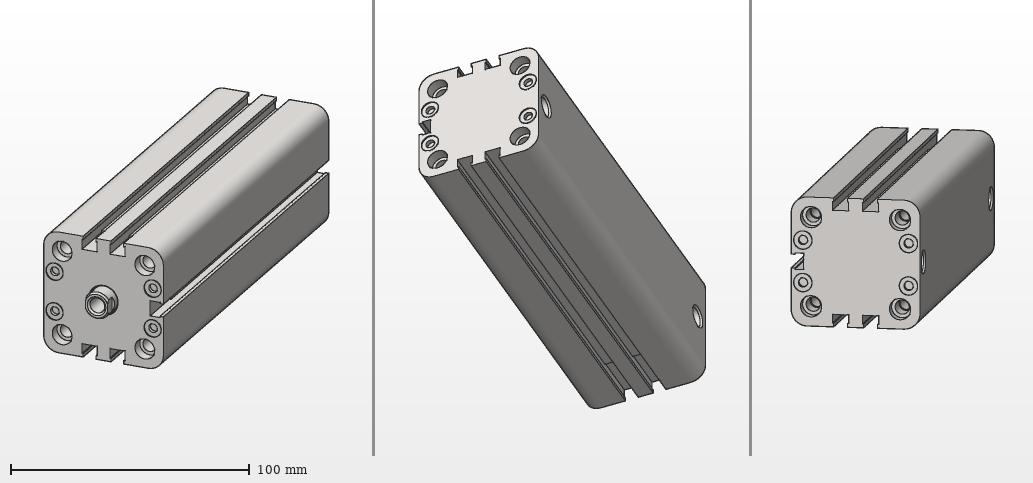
import cadquery as cq

width = 54.9
total_length = 177.0
rod_projection = 7.0
body_length = total_length - rod_projection
half_width = width / 2
corner_radius = 6.9

slot_pitch = 12.7
slot_mouth_width = 5.8
slot_inner_width = 6.9
slot_lip = 1.6
slot_depth = 5.3
slot_deep_depth = 6.0
slot_deep_length = 19.8

mount_offset = 19.0
mount_core_diameter = 5.1
mount_thread_diameter = 6.0
mount_thread_depth = 14.2
mount_counterbore_diameter = 9.0
mount_counterbore_depth = 5.0

screw_x = 22.5
screw_z = 9.0
screw_recess_diameter = 7.8
screw_recess_depth = 0.5
socket_diameter = 3.9
socket_depth = 2.3

port_end_distance = 8.0
port_diameter = 8.5
port_mouth_diameter = 10.1
port_depth = 8.0
air_hole_diameter = 3.0
air_hole_shift = 2.0
air_hole_depth = 3.5

rod_diameter = 12.0
rod_chamfer_length = 1.0
rod_chamfer_inset = 0.7
well_diameter = 12.5
well_mouth_diameter = 13.5
well_depth = 1.8
flat_spacing = 10.1
flat_length = 4.5
flat_runout = 0.5
bore_diameter = 6.7
bore_mouth_diameter = 8.5
bore_depth = 14.2
bore_tip_height = 2.1


def y_cylinder(diameter, start_y, length, x=0, z=0):
    """Cylinder along +Y."""
    solid = cq.Solid.makeCylinder(diameter / 2, length, cq.Vector(x, start_y, z), cq.Vector(0, 1, 0))
    return cq.Workplane(solid)


def y_cone(start_diameter, end_diameter, start_y, length):
    """Cone along +Y on the rod axis."""
    axis_start = cq.Vector(0, start_y, 0)
    solid = cq.Solid.makeCone(start_diameter / 2, end_diameter / 2, length, axis_start, cq.Vector(0, 1, 0))
    return cq.Workplane(solid)


def x_cylinder(diameter, start_x, length, y):
    """Cylinder along +X at mid height."""
    solid = cq.Solid.makeCylinder(diameter / 2, length, cq.Vector(start_x, y, 0), cq.Vector(1, 0, 0))
    return cq.Workplane(solid)


def make_block():
    block = cq.Workplane().box(width, body_length, width, centered=(True, False, True))
    return block.edges("|Y").fillet(corner_radius)


def make_slot(depth, length):
    """Undercut slot in the +Z face, starting at the rod end."""
    from_start = (True, False, False)
    mouth = cq.Workplane().box(slot_mouth_width, length, slot_lip, centered=from_start)
    mouth = mouth.translate((0, 0, half_width - slot_lip))
    chamber = cq.Workplane().box(slot_inner_width, length, depth - slot_lip, centered=from_start)
    return mouth.union(chamber.translate((0, 0, half_width - depth)))


def cut_slots(body):
    """Two slots on the top, two underneath and one on the +X face."""
    slot = make_slot(slot_depth, body_length).union(make_slot(slot_deep_depth, slot_deep_length))
    pair = slot.translate((-slot_pitch / 2, 0, 0)).union(slot.translate((slot_pitch / 2, 0, 0)))
    body = body.cut(pair).cut(pair.mirror("XY"))
    return body.cut(slot.rotate((0, 0, 0), (0, 1, 0), 90))


def make_mount_hole(x, z):
    """Through hole, opened up the same way from both ends."""
    hole = y_cylinder(mount_core_diameter, 0, body_length, x, z)
    for diameter, depth in (
        (mount_thread_diameter, mount_thread_depth),
        (mount_counterbore_diameter, mount_counterbore_depth),
    ):
        hole = hole.union(y_cylinder(diameter, 0, depth, x, z))
        hole = hole.union(y_cylinder(diameter, body_length - depth, depth, x, z))
    return hole


def make_screw_recess(x, z):
    """Screw recess and socket at both ends."""
    recess = cq.Workplane()
    for diameter, depth in (
        (screw_recess_diameter, screw_recess_depth),
        (socket_diameter, socket_depth),
    ):
        recess = recess.add(y_cylinder(diameter, 0, depth, x, z))
        recess = recess.add(y_cylinder(diameter, body_length - depth, depth, x, z))
    return recess.combine()


def cut_end_holes(body):
    for side_x in (-1, 1):
        for side_z in (-1, 1):
            body = body.cut(make_mount_hole(side_x * mount_offset, side_z * mount_offset))
            body = body.cut(make_screw_recess(side_x * screw_x, side_z * screw_z))
    return body


def cut_ports(body):
    """Chamfered air ports, each with a small hole set towards the middle of the body."""
    chamfer = (port_mouth_diameter - port_diameter) / 2
    for y, inward in ((port_end_distance, 1), (body_length - port_end_distance, -1)):
        mouth = cq.Solid.makeCone(
            port_mouth_diameter / 2,
            port_diameter / 2,
            chamfer,
            cq.Vector(-half_width, y, 0),
            cq.Vector(1, 0, 0),
        )
        port = x_cylinder(port_diameter, -half_width, port_depth, y)
        air_hole_y = y + inward * air_hole_shift
        air_hole = x_cylinder(air_hole_diameter, port_depth - half_width, air_hole_depth, air_hole_y)
        body = body.cut(cq.Workplane(mouth)).cut(port).cut(air_hole)
    return body


def make_rod():
    """Rod from its free end down to the bottom of the well in the end face."""
    free_end = -rod_projection
    tip_diameter = rod_diameter - 2 * rod_chamfer_inset
    rod = y_cylinder(rod_diameter, free_end + rod_chamfer_length, well_depth - free_end - rod_chamfer_length)
    rod = rod.union(y_cone(tip_diameter, rod_diameter, free_end, rod_chamfer_length))

    flat_x = flat_spacing / 2
    flat_end = free_end + flat_length
    waste = (
        cq.Workplane()
        .moveTo(flat_x, free_end)
        .lineTo(flat_x, flat_end)
        .lineTo(rod_diameter / 2, flat_end + flat_runout)
        .lineTo(rod_diameter, flat_end + flat_runout)
        .lineTo(rod_diameter, free_end)
        .close()
        .extrude(rod_diameter / 2, both=True)
    )
    return rod.cut(waste).cut(waste.mirror("YZ"))


def cut_well(body):
    """Round well with a chamfered mouth around the rod."""
    chamfer = (well_mouth_diameter - well_diameter) / 2
    body = body.cut(y_cylinder(well_diameter, 0, well_depth))
    return body.cut(y_cone(well_mouth_diameter, well_diameter, 0, chamfer))


def cut_rod_bore(body):
    """Bore with a chamfered mouth and a conical bottom."""
    mouth_depth = (bore_mouth_diameter - bore_diameter) / 2
    body = body.cut(y_cylinder(bore_diameter, -rod_projection, bore_depth))
    body = body.cut(y_cone(bore_mouth_diameter, bore_diameter, -rod_projection, mouth_depth))
    return body.cut(y_cone(bore_diameter, 0, bore_depth - rod_projection, bore_tip_height))


barrel = cut_well(cut_ports(cut_end_holes(cut_slots(make_block()))))
result = cut_rod_bore(barrel.union(make_rod()))